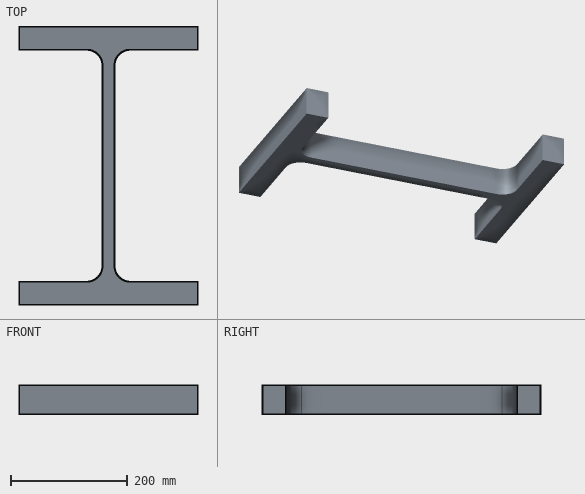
import cadquery as cq

section_depth = 478.0
flange_width = 307.0
flange_thickness = 40.0
web_thickness = 21.0
root_radius = 27.0
beam_length = 50.0


def make_flange(side):
    """Flange at the +Y (side = 1) or -Y (side = -1) end of the section."""
    center_y = side * (section_depth - flange_thickness) / 2
    return (
        cq.Workplane("XY")
        .center(0, center_y)
        .rect(flange_width, flange_thickness)
        .extrude(beam_length)
    )


def make_web():
    """Web reaching from the inner face of one flange to that of the other."""
    web_height = section_depth - 2 * flange_thickness
    return cq.Workplane("XY").rect(web_thickness, web_height).extrude(beam_length)


def round_roots(beam):
    """Fillet the four inner corners where the web meets the flanges."""
    inner_box = cq.selectors.BoxSelector(
        (-web_thickness, -section_depth / 2 + flange_thickness / 2, 0),
        (web_thickness, section_depth / 2 - flange_thickness / 2, beam_length),
    )
    return beam.edges("|Z").edges(inner_box).fillet(root_radius)


beam = make_web()
for side in (-1, 1):
    beam = beam.union(make_flange(side))

result = round_roots(beam)